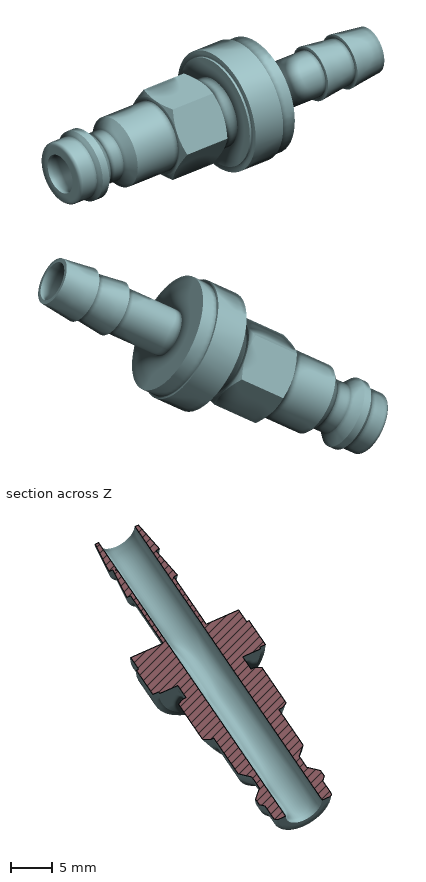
import cadquery as cq
import math

length = 47.0
bore_radius = 2.5

tail_radius = 3.0
barb_crest_radius = 3.52
barb_length = 4.45
barb_count = 2

collar_start = 17.0
collar_rear_radius = 7.45
collar_rear_length = 2.0
collar_radius = 7.8
collar_length = 4.2
lip_radius = 7.0
lip_length = 0.3

hex_start = 25.5
hex_length = 7.0
hex_across_flats = 10.0
hex_chamfer_angle = 30.0

body_radius = 4.5
body_end = 38.65
groove_radius = 3.3
groove_floor_length = 1.9
ridge_length = 1.0
tip_radius = 4.0
tip_round = 0.45

collar_step = collar_start + collar_rear_length
collar_front = collar_step + collar_length
lip_front = collar_front + lip_length
groove_slope = body_radius - groove_radius
groove_floor_start = body_end + groove_slope
groove_floor_end = groove_floor_start + groove_floor_length
ridge_start = groove_floor_end + groove_slope
ridge_end = ridge_start + ridge_length
tip_start = ridge_end + body_radius - tip_radius


def revolve_profile(points):
    """Revolve (radius, distance from hose end) points about the Y axis."""
    outline = [(radius, length / 2 - distance) for radius, distance in points]
    return cq.Workplane("XY").polyline(outline).close().revolve(360, (0, 0), (0, 1))


def turned_body():
    points = [(0, 0)]
    for i in range(barb_count):
        points.append((tail_radius, i * barb_length))
        points.append((barb_crest_radius, (i + 1) * barb_length))
    points += [
        (tail_radius, barb_count * barb_length),
        (tail_radius, collar_start),
        (collar_rear_radius, collar_start),
        (collar_rear_radius, collar_step),
        (collar_radius, collar_step),
        (collar_radius, collar_front),
        (lip_radius, collar_front),
        (lip_radius, lip_front),
        (body_radius, lip_front),
        (body_radius, body_end),
        (groove_radius, groove_floor_start),
        (groove_radius, groove_floor_end),
        (body_radius, ridge_start),
        (body_radius, ridge_end),
        (tip_radius, tip_start),
        (tip_radius, length),
        (0, length),
    ]
    return revolve_profile(points).faces("<Y").edges().fillet(tip_round)


def chamfered_hexagon():
    flat_radius = hex_across_flats / 2
    corner_radius = flat_radius / math.cos(math.pi / 6)
    chamfer_depth = (corner_radius - flat_radius) * math.tan(math.radians(hex_chamfer_angle))
    hex_end = hex_start + hex_length

    prism = (
        cq.Workplane("XZ", origin=(0, length / 2 - hex_start, 0))
        .polygon(6, 2 * corner_radius)
        .extrude(hex_length)
    )
    envelope = revolve_profile([
        (0, hex_start),
        (flat_radius, hex_start),
        (corner_radius, hex_start + chamfer_depth),
        (corner_radius, hex_end - chamfer_depth),
        (flat_radius, hex_end),
        (0, hex_end),
    ])
    return prism.intersect(envelope)


def through_bore():
    return cq.Workplane("XZ", origin=(0, length / 2, 0)).circle(bore_radius).extrude(length)


result = turned_body().union(chamfered_hexagon()).cut(through_bore())